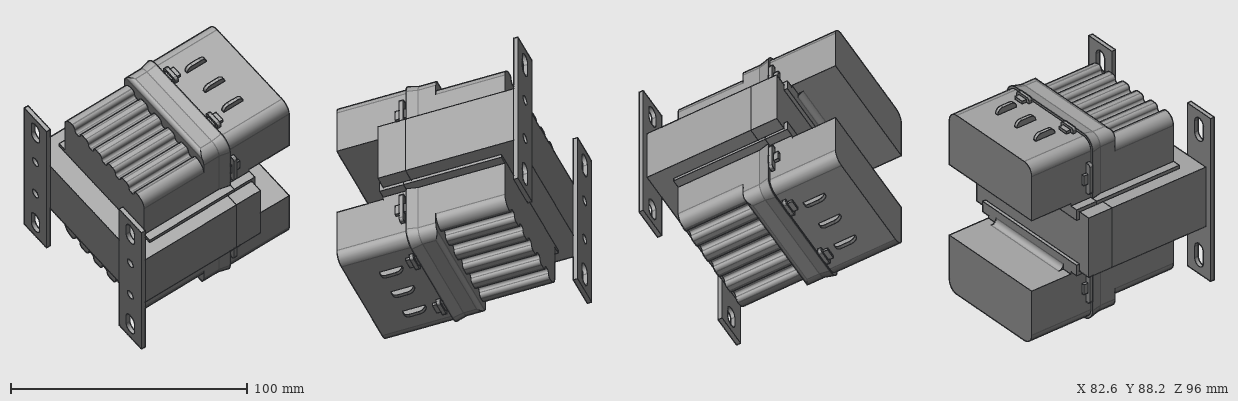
import cadquery as cq
import math


YOKE_DEPTH = 12.7
CORE_WIDTH = 6 * YOKE_DEPTH
CORE_REAR = 5 * YOKE_DEPTH
YOKE_FRONT = CORE_REAR - YOKE_DEPTH
CORE_HALF_HEIGHT = 15.0

FEET_SPAN = 82.6
FOOT_LENGTH = 82.2
FOOT_WIDTH = 15.7
FOOT_THICKNESS = 2.0
FOOT_X = (FEET_SPAN - FOOT_WIDTH) / 2
SLOT_LENGTH = 11.4
SLOT_WIDTH = 5.8
SLOT_SPACING = 63.4
RIVET_HOLE_DIAMETER = 4.2
RIVET_HOLE_SPACING = 22.3

FLANGE_WIDTH = 63.7
FLANGE_THICKNESS = 1.6
FLANGE_FRONT = 9.4
FLANGE_REAR = CORE_REAR + FLANGE_THICKNESS
FLANGE_TOP = CORE_HALF_HEIGHT + FLANGE_THICKNESS
LIP_BOTTOM = 11.3

BODY_WIDTH = 55.9
BODY_TOP = 45.1
CORNER_RADIUS = 5.1
SEAM_Y = 54.1

HOOD_FRONT = 41.0
HOOD_EDGE_RADIUS = 2.0
FLARE = 1.2
FLARE_FRONT = 49.1
FLARE_LIP = 0.3
RIBBED_TOP = 39.8
GROOVE_COUNT = 5
GROOVE_PITCH = 9.5
GROOVE_WIDTH = 3.6
GROOVE_MOUTH_RADIUS = 1.8
GROOVE_BOTTOM_RADIUS = 1.4

BOX_REAR = 86.2
BOX_UNDERSIDE = 17.8
UNDERSIDE_FILLET = 2.6

FIN_COUNT = 3
FIN_PITCH = 13.0
FIN_WIDTH = 1.5
FIN_LENGTH = 10.3
FIN_CENTRE_Y = 67.4
FIN_HEIGHT = 2.9

LATCH_STRIP_WIDTH = 5.0
LATCH_STRIP_HEIGHT = 1.3
LATCH_STRIP_REAR = 59.0
LATCH_BAR_FRONT = 55.0
LATCH_BAR_THICKNESS = 1.7
LATCH_BAR_HEIGHT = 2.5
LATCH_BAR_END_RADIUS = 1.2
TOP_LATCH_X = 15.0
TOP_LATCH_LENGTH = 8.2
SIDE_LATCH_Z = 27.5
SIDE_LATCH_LENGTH = 15.2


def block(width, y_min, y_max, z_min, z_max):
    """Box centred on X = 0."""
    depth = y_max - y_min
    solid = cq.Workplane("XY").box(width, depth, z_max - z_min, centered=(True, False, False))
    return solid.translate((0, y_min, z_min))


def arch_outline(plane_y, width, top, radius):
    """Outline in the XZ plane: flat on the flange, rounded at both upper corners."""
    half = width / 2
    diagonal = radius * (1 - math.sqrt(0.5))
    return (
        cq.Workplane("XZ", origin=(0, plane_y, 0))
        .moveTo(-half, FLANGE_TOP)
        .lineTo(half, FLANGE_TOP)
        .lineTo(half, top - radius)
        .threePointArc((half - diagonal, top - diagonal), (half - radius, top))
        .lineTo(-half + radius, top)
        .threePointArc((-half + diagonal, top - diagonal), (-half, top - radius))
        .close()
    )


def arch(y_min, y_max, width, top, radius):
    return arch_outline(y_max, width, top, radius).extrude(y_max - y_min)


def make_core():
    return block(CORE_WIDTH, 0, YOKE_FRONT, -CORE_HALF_HEIGHT, CORE_HALF_HEIGHT)


def make_yoke():
    return block(CORE_WIDTH, YOKE_FRONT, CORE_REAR, -CORE_HALF_HEIGHT, CORE_HALF_HEIGHT)


def make_foot(x):
    """Flat strip with a slot near each end and two rivet holes between them."""
    foot = block(FOOT_WIDTH, -FOOT_THICKNESS, 0, -FOOT_LENGTH / 2, FOOT_LENGTH / 2)
    slots = (
        cq.Workplane("XZ")
        .pushPoints([(0, -SLOT_SPACING / 2), (0, SLOT_SPACING / 2)])
        .slot2D(SLOT_LENGTH, SLOT_WIDTH, 90)
        .extrude(FOOT_THICKNESS)
    )
    rivet_holes = (
        cq.Workplane("XZ")
        .pushPoints([(0, -RIVET_HOLE_SPACING / 2), (0, RIVET_HOLE_SPACING / 2)])
        .circle(RIVET_HOLE_DIAMETER / 2)
        .extrude(FOOT_THICKNESS)
    )
    return foot.cut(slots).cut(rivet_holes).translate((x, 0, 0))


def make_groove(x):
    """Groove along Y; each flank is a mouth arc running into a bottom arc."""
    half = GROOVE_WIDTH / 2
    half_mouth = half + GROOVE_MOUTH_RADIUS
    half_floor = half - GROOVE_BOTTOM_RADIUS
    waist = RIBBED_TOP - GROOVE_MOUTH_RADIUS
    floor = waist - GROOVE_BOTTOM_RADIUS
    return (
        cq.Workplane("XZ", origin=(x, HOOD_FRONT, 0))
        .moveTo(-half_mouth, RIBBED_TOP)
        .radiusArc((-half, waist), GROOVE_MOUTH_RADIUS)
        .radiusArc((-half_floor, floor), -GROOVE_BOTTOM_RADIUS)
        .lineTo(half_floor, floor)
        .radiusArc((half, waist), -GROOVE_BOTTOM_RADIUS)
        .radiusArc((half_mouth, RIBBED_TOP), GROOVE_MOUTH_RADIUS)
        .close()
        .extrude(HOOD_FRONT - FLANGE_FRONT)
    )


def make_ribbed_section():
    ribbed = arch(FLANGE_FRONT, HOOD_FRONT, BODY_WIDTH, RIBBED_TOP, CORNER_RADIUS)
    for index in range(GROOVE_COUNT):
        ribbed = ribbed.cut(make_groove((index - (GROOVE_COUNT - 1) / 2) * GROOVE_PITCH))
    return ribbed


def make_hood():
    """Raised rear part of the coil cover, rounded along its top front edge."""
    rounded_block = (
        block(BODY_WIDTH, HOOD_FRONT, SEAM_Y, FLANGE_TOP, BODY_TOP)
        .edges("|X and <Y and >Z")
        .fillet(HOOD_EDGE_RADIUS)
    )
    return rounded_block.intersect(arch(HOOD_FRONT, SEAM_Y, BODY_WIDTH, BODY_TOP, CORNER_RADIUS))


def make_flare():
    """Rim that widens towards the seam and ends in a short straight lip."""
    wide_width = BODY_WIDTH + 2 * FLARE
    wide_top = BODY_TOP + FLARE
    wide_radius = CORNER_RADIUS + FLARE
    lip_front = SEAM_Y - FLARE_LIP
    wide_wire = arch_outline(lip_front, wide_width, wide_top, wide_radius).val()
    narrow_wire = arch_outline(FLARE_FRONT, BODY_WIDTH, BODY_TOP, CORNER_RADIUS).val()
    taper = cq.Workplane(cq.Solid.makeLoft([narrow_wire, wide_wire], True))
    return taper.union(arch(lip_front, SEAM_Y, wide_width, wide_top, wide_radius))


def make_coil_cover():
    flange = block(FLANGE_WIDTH, FLANGE_FRONT, SEAM_Y, CORE_HALF_HEIGHT, FLANGE_TOP)
    return flange.union(make_ribbed_section()).union(make_hood()).union(make_flare())


def make_latch(bar_length):
    """Latch standing on the plane Z = 0: a strip back from the seam under a cross bar."""
    strip = block(LATCH_STRIP_WIDTH, SEAM_Y, LATCH_STRIP_REAR, 0, LATCH_STRIP_HEIGHT)
    bar_rear = LATCH_BAR_FRONT + LATCH_BAR_THICKNESS
    bar = block(bar_length, LATCH_BAR_FRONT, bar_rear, 0, LATCH_BAR_HEIGHT)
    bar = bar.edges("|Y and >Z").fillet(LATCH_BAR_END_RADIUS)
    return strip.union(bar)


def make_latches():
    half_width = BODY_WIDTH / 2
    top_latch = make_latch(TOP_LATCH_LENGTH)
    side_latch = make_latch(SIDE_LATCH_LENGTH)
    latches = []
    for side in (-1, 1):
        latches.append(top_latch.translate((side * TOP_LATCH_X, 0, BODY_TOP)))
        turned = side_latch.rotate((0, 0, 0), (0, 1, 0), side * 90)
        latches.append(turned.translate((side * half_width, 0, SIDE_LATCH_Z)))
    return latches


def make_fin(x):
    """Upright fin with a rounded upper corner at each end."""
    fin = block(
        FIN_WIDTH,
        FIN_CENTRE_Y - FIN_LENGTH / 2,
        FIN_CENTRE_Y + FIN_LENGTH / 2,
        BODY_TOP - FIN_HEIGHT,
        BODY_TOP + FIN_HEIGHT,
    )
    return fin.edges("|X and >Z").fillet(FIN_HEIGHT).translate((x, 0, 0))


def make_underside_fillet():
    """Concave fillet between the box underside and the rear face of the lip."""
    radius = UNDERSIDE_FILLET
    width = BODY_WIDTH - 2 * CORNER_RADIUS
    low = BOX_UNDERSIDE - radius
    return (
        cq.Workplane("YZ", origin=(-width / 2, 0, 0))
        .moveTo(FLANGE_REAR, low)
        .radiusArc((FLANGE_REAR + radius, BOX_UNDERSIDE), radius)
        .lineTo(FLANGE_REAR, BOX_UNDERSIDE)
        .close()
        .extrude(width)
    )


def make_terminal_box():
    flange = block(FLANGE_WIDTH, SEAM_Y, FLANGE_REAR, CORE_HALF_HEIGHT, FLANGE_TOP)
    lip = block(FLANGE_WIDTH, CORE_REAR, FLANGE_REAR, LIP_BOTTOM, FLANGE_TOP)
    shell = arch(SEAM_Y, BOX_REAR, BODY_WIDTH, BODY_TOP, CORNER_RADIUS)
    shell = shell.cut(block(BODY_WIDTH, FLANGE_REAR, BOX_REAR, FLANGE_TOP, BOX_UNDERSIDE))
    box = shell.union(flange).union(lip).union(make_underside_fillet())
    for index in range(FIN_COUNT):
        box = box.union(make_fin((index - (FIN_COUNT - 1) / 2) * FIN_PITCH))
    for latch in make_latches():
        box = box.union(latch)
    return box


core = make_core()
yoke = make_yoke()
feet = [make_foot(side * FOOT_X) for side in (-1, 1)]

upper_cover = make_coil_cover()
upper_box = make_terminal_box()
coil_covers = [upper_cover, upper_cover.mirror("XY")]
terminal_boxes = [upper_box, upper_box.mirror("XY")]

result = cq.Compound.makeCompound(
    [body.val() for body in [core, yoke, *feet, *coil_covers, *terminal_boxes]]
)